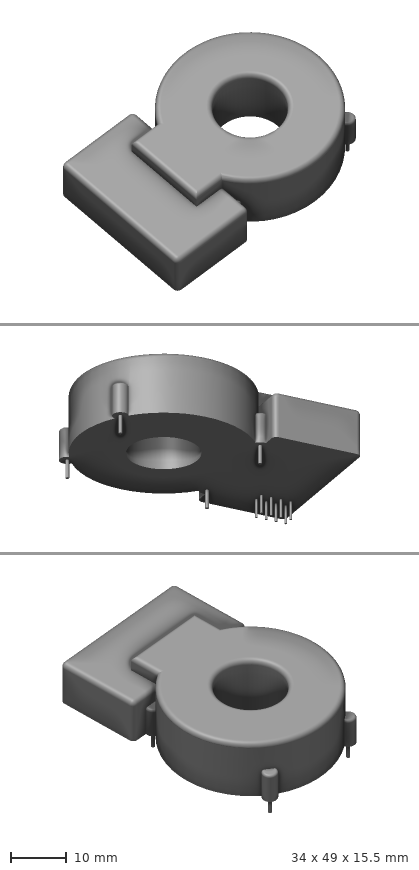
import cadquery as cq

ring_diameter = 34.0
ring_height = 12.0
bore_diameter = 13.5
edge_radius = 1.0

box_width = 30.5
box_front_y = -32.0
box_length = 17.6
box_height = 9.0

bridge_width = 17.0
bridge_back_y = -11.0
bridge_front_y = -21.0

post_diameter = 3.0
post_height = 6.0
post_edge_radius = 0.5
post_x = 10.5
post_y = 14.0
mount_pin_diameter = 0.7

signal_pin_diameter = 0.46
signal_first_x = 8.0
signal_first_y = -29.5
signal_pitch = 1.96
signal_columns = 2
signal_rows = 4

pin_length = 3.5
pin_embed = 1.0


def block(width, back_y, front_y, height):
    """Block standing on Z = 0, centred on X."""
    length = back_y - front_y
    base = cq.Workplane("XY").center(0, front_y + length / 2).rect(width, length)
    return base.extrude(height)


def make_ring():
    return cq.Workplane("XY").circle(ring_diameter / 2).extrude(ring_height)


def make_box():
    box = block(box_width, box_front_y + box_length, box_front_y, box_height)
    return box.edges("|Z or >Z").fillet(edge_radius)


def make_bridge():
    return block(bridge_width, bridge_back_y, bridge_front_y, ring_height)


def make_post(x, y):
    post = cq.Workplane("XY").center(x, y).circle(post_diameter / 2).extrude(post_height)
    return post.faces(">Z").edges().fillet(post_edge_radius)


def make_pin(x, y, diameter):
    pin = cq.Workplane("XY").workplane(offset=-pin_length).center(x, y)
    return pin.circle(diameter / 2).extrude(pin_length + pin_embed)


result = make_ring().union(make_bridge())
result = result.faces(">Z").edges().fillet(edge_radius)

result = result.union(make_box())

for x in (-post_x, post_x):
    for y in (-post_y, post_y):
        result = result.union(make_post(x, y))
        result = result.union(make_pin(x, y, mount_pin_diameter))

for column in range(signal_columns):
    for row in range(signal_rows):
        x = signal_first_x + column * signal_pitch
        y = signal_first_y + row * signal_pitch
        result = result.union(make_pin(x, y, signal_pin_diameter))

result = result.cut(cq.Workplane("XY").circle(bore_diameter / 2).extrude(ring_height))
bore_rim = cq.selectors.RadiusNthSelector(0)
result = result.faces(">Z").edges("%CIRCLE").edges(bore_rim).fillet(edge_radius)